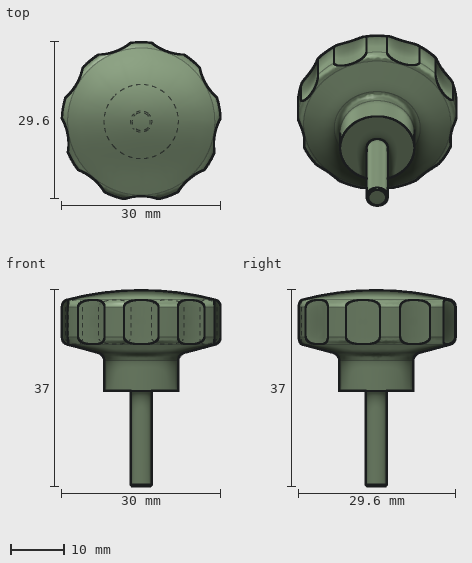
import cadquery as cq
import math

stud_length = 18.0
knob_height = 19.0
rim_height = 7.9
dome_rise = 2.1
top_z = stud_length + knob_height
rim_top_z = top_z - dome_rise
rim_bottom_z = rim_top_z - rim_height

rim_radius = 15.0
hub_radius = 7.0
stud_radius = 2.0

underside_angle = 15.0
edge_fillet = 1.5
stud_chamfer = 0.3

scallop_count = 9
scallop_radius = 10.0
scallop_floor_radius = 14.1
first_scallop_angle = -90.0

underside_drop = (rim_radius - hub_radius) * math.tan(math.radians(underside_angle))
hub_top_z = rim_bottom_z - underside_drop


def dome_point(radius):
    """Point on the spherical dome at a given distance from the axis."""
    sphere_radius = (rim_radius**2 + dome_rise**2) / (2 * dome_rise)
    sphere_center_z = top_z - sphere_radius
    return (radius, sphere_center_z + math.sqrt(sphere_radius**2 - radius**2))


def make_head():
    """Revolved hub, conical underside, rim and dome, with rounded edges."""
    head = (
        cq.Workplane("XZ")
        .moveTo(0, stud_length)
        .lineTo(hub_radius, stud_length)
        .lineTo(hub_radius, hub_top_z)
        .lineTo(rim_radius, rim_bottom_z)
        .lineTo(rim_radius, rim_top_z)
        .threePointArc(dome_point(rim_radius / 2), (0, top_z))
        .close()
        .revolve(360, (0, 0), (0, 1))
    )
    margin = edge_fillet / 2
    rounded_edges = cq.selectors.BoxSelector(
        (-rim_radius, -rim_radius, hub_top_z - margin),
        (rim_radius, rim_radius, rim_top_z + margin),
    )
    return head.edges("%CIRCLE").edges(rounded_edges).fillet(edge_fillet)


def make_scallop_cutters():
    """Vertical cylinders whose inner sides form the scallop floors."""
    return (
        cq.Workplane("XY", origin=(0, 0, hub_top_z))
        .polarArray(scallop_floor_radius + scallop_radius, first_scallop_angle, 360, scallop_count)
        .circle(scallop_radius)
        .extrude(top_z - hub_top_z, combine=False)
    )


def make_stud():
    """Plain stud with a chamfered tip."""
    return (
        cq.Workplane("XY")
        .circle(stud_radius)
        .extrude(stud_length)
        .faces("<Z")
        .chamfer(stud_chamfer)
    )


result = make_head().cut(make_scallop_cutters()).union(make_stud())